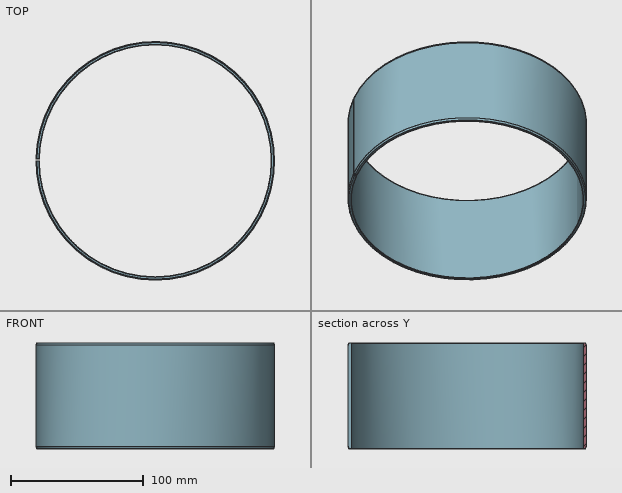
import cadquery as cq

outer_diameter = 180.0
wall = 2.5
height = 80.0
slit_width = 1.5
bevel_height = 1.6
bevel_depth = 0.7
inner_chamfer = 0.4

outer_radius = outer_diameter / 2
inner_radius = outer_radius - wall
rim_radius = outer_radius - bevel_depth
inner_rim_radius = inner_radius + inner_chamfer


def beveled_band():
    """Thin-walled ring about Z, standing on XY, with steep outer bevels and small inner chamfers."""
    wall_section = [
        (inner_radius, inner_chamfer),
        (inner_rim_radius, 0),
        (rim_radius, 0),
        (outer_radius, bevel_height),
        (outer_radius, height - bevel_height),
        (rim_radius, height),
        (inner_rim_radius, height),
        (inner_radius, height - inner_chamfer),
    ]
    return cq.Workplane("XZ").polyline(wall_section).close().revolve(360, (0, 0), (0, 1))


def slit_cutter():
    """Full-height block that splits the wall on the -X side, with one face on the XZ plane."""
    return (
        cq.Workplane("XY")
        .center(-outer_radius, slit_width / 2)
        .rect(4 * wall, slit_width)
        .extrude(height)
    )


result = beveled_band().cut(slit_cutter())